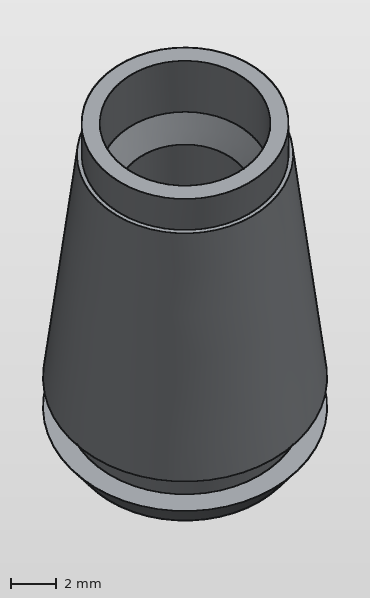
import cadquery as cq

flare_top = 1.7
groove_top = 3.6
taper_top = 18.0
total_height = 20.0

bottom_diameter = 10.5
flare_diameter = 12.5
groove_diameter = 10.5
taper_top_diameter = 9.5
neck_diameter = 9.1

bore_diameter = 6.0
counterbore_diameter = 7.5
counterbore_depth = 3.3
bore_cone_height = 1.3

counterbore_floor = total_height - counterbore_depth
bore_top = counterbore_floor - bore_cone_height

half_section = [
    (bore_diameter / 2, 0),
    (bottom_diameter / 2, 0),
    (flare_diameter / 2, flare_top),
    (groove_diameter / 2, flare_top),
    (groove_diameter / 2, groove_top),
    (flare_diameter / 2, groove_top),
    (taper_top_diameter / 2, taper_top),
    (neck_diameter / 2, taper_top),
    (neck_diameter / 2, total_height),
    (counterbore_diameter / 2, total_height),
    (counterbore_diameter / 2, counterbore_floor),
    (bore_diameter / 2, bore_top),
]

result = cq.Workplane("XZ").polyline(half_section).close().revolve(360, (0, 0, 0), (0, 1, 0))